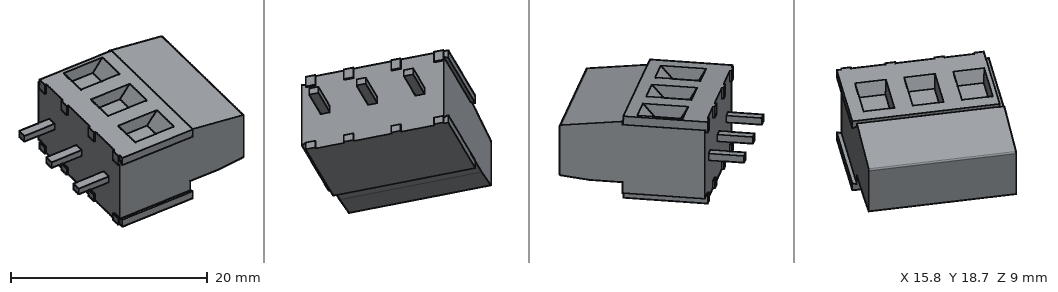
import cadquery as cq

pole_count = 3
pitch = 5.09
body_width = pole_count * pitch
pole_centres = [(pole + 0.5) * pitch for pole in range(pole_count)]
joints = [joint * pitch for joint in range(1, pole_count)]

thickness = 9.0
body_length = 15.03
shoulder_y = 8.53
nose_top_at_shoulder = 8.62
nose_top_at_end = 7.72
nose_bottom = 1.9
nose_bottom_at_end = 2.2
nose_taper_y = 11.93
nose_edge_radius = 0.17

rail_width = 0.49
rail_root_height = 0.73
rail_tip_height = 0.94

foot_width = 1.01
foot_length = 0.19
top_foot_height = 1.2
bottom_foot_height = 0.82

pin_width = 1.0
pin_height = 0.75
pin_length = 3.67
pin_z = thickness / 2

entry_width = 3.2
entry_front_y = 2.47
entry_back_y = 7.16
entry_depth = 1.33
floor_width = 2.8
floor_front_y = 3.22
floor_back_y = 5.85


def box(x, y, z, width, length, height):
    """Box with its lowest corner at (x, y, z)."""
    return cq.Workplane("XY").box(width, length, height, centered=False).translate((x, y, z))


def housing():
    """Side profile extruded over all poles, with the nose end edges rounded."""
    profile = [
        (0, 0),
        (shoulder_y, 0),
        (shoulder_y, nose_bottom),
        (nose_taper_y, nose_bottom),
        (body_length, nose_bottom_at_end),
        (body_length, nose_top_at_end),
        (shoulder_y, nose_top_at_shoulder),
        (shoulder_y, thickness),
        (0, thickness),
    ]
    block = cq.Workplane("YZ").polyline(profile).close().extrude(body_width)
    return block.faces(">Y").edges("|X").fillet(nose_edge_radius)


def rail_pair(start_x):
    """Top and bottom rails, growing thicker from start_x towards +X."""
    tip_x = start_x + rail_width
    section = [
        (start_x, 0),
        (tip_x, 0),
        (tip_x, rail_tip_height),
        (start_x, rail_root_height),
    ]
    bottom = cq.Workplane("XZ").polyline(section).close().extrude(-shoulder_y)
    top = bottom.mirror("XY").translate((0, 0, thickness))
    return bottom.union(top)


def feet():
    """Feet at both ends and across the joints between poles, along both edges of the pin face."""
    starts = [rail_width, body_width - foot_width]
    starts += [joint - foot_width / 2 for joint in joints]
    row = cq.Workplane("XY")
    for x in starts:
        row = row.union(box(x, -foot_length, 0, foot_width, foot_length, bottom_foot_height))
        top_z = thickness - top_foot_height
        row = row.union(box(x, -foot_length, top_z, foot_width, foot_length, top_foot_height))
    return row


def pin(centre_x):
    return box(
        centre_x - pin_width / 2, -pin_length, pin_z - pin_height / 2,
        pin_width, pin_length, pin_height,
    )


def wire_entry(centre_x):
    """Four-sided funnel narrowing from the top face down to a flat floor."""
    opening_centre_y = (entry_front_y + entry_back_y) / 2
    floor_shift = (floor_front_y + floor_back_y) / 2 - opening_centre_y
    return (
        cq.Workplane("XY", origin=(centre_x, opening_centre_y, thickness))
        .rect(entry_width, entry_back_y - entry_front_y)
        .workplane(offset=-entry_depth)
        .center(0, floor_shift)
        .rect(floor_width, floor_back_y - floor_front_y)
        .loft(ruled=True)
    )


result = housing().cut(rail_pair(0)).union(rail_pair(body_width)).union(feet())
for centre in pole_centres:
    result = result.union(pin(centre)).cut(wire_entry(centre))